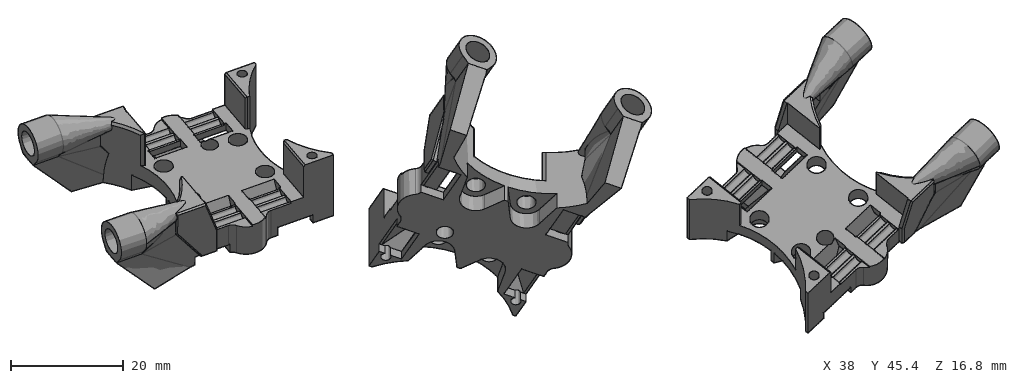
import cadquery as cq
import math

OVERALL_WIDTH = 38.0
OVERALL_LENGTH = 45.35
OVERALL_HEIGHT = 16.82

PLATE_HALF_X = 14.5
PLATE_HALF_Y = 16.1
PLATE_TOP = 6.7
ARC_RADIUS = 18.0
ARC_CENTRE_Y = 27.55

POST_TOP = 14.1
POST_INNER_X = 6.74
BACK_POST_Y = 10.07
FRONT_POST_Y = -10.23
POST_CHAMFER = 0.3
FRONT_POST_CHAMFER = 0.45

SCREW_X = 5.0
SCREW_Y = 7.5
SCREW_DIAMETER = 3.4
EXTRA_HOLE = (-6.2, 2.48)
EXTRA_DIAMETER = 3.05
POST_HOLE = (12.83, 12.68)
POST_HOLE_DIAMETER = 1.8

HEAD_RADIUS = 2.9
HEAD_POCKET_DEPTH = 3.53
FLARE_INNER_X = 0.36
FLARE_OUTER_X = 8.83

BOSS_RADIUS = 3.7
BOSS_REACH = 16.8
BOSS_Y = -0.84
BOSS_BLEND = 1.5

SEAT_INNER_X = 10.03
SEAT_NEAR_Y = 1.5
SEAT_FAR_Y = 7.55
SEAT_DEPTH = 0.35
GROOVE_RADIUS = 0.76
GROOVE_PITCH = 2.08
GROOVE_COUNT = 2
FIRST_GROOVE_X = 11.2
SLOT_INNER_X = 7.58
SLOT_NEAR_Y = 1.34
SLOT_FAR_Y = 7.89
CHANNEL_INNER_X = 10.1
CHANNEL_NEAR_Y = 4.85
CHANNEL_FAR_Y = 11.95
CHANNEL_HEIGHT = 1.85
CHANNEL_CEILING_X = 14.0
SLOT_BEND_Z = 5.0

TUBE_RADIUS = 3.7
TUBE_X = OVERALL_WIDTH / 2 - TUBE_RADIUS
TUBE_Z = OVERALL_HEIGHT - TUBE_RADIUS
TUBE_BORE_RADIUS = 2.33
TUBE_FRONT_Y = PLATE_HALF_Y - OVERALL_LENGTH
TUBE_LENGTH = 5.1
TUBE_BACK_Y = TUBE_FRONT_Y + TUBE_LENGTH
KEEL_HALF_WIDTH = 1.87
KEEL_Z = 9.45
CONE_TIP = (-13.0, -13.0, 13.1)
CONE_TIP_RADIUS = 1.0
LEG_TOE_Y = -21.4
LEG_TOE_OUTER_X = 16.9
LEG_INNER_X = 13.65
LEG_ROOT_LOW_OUTER_X = 14.2
LEG_ROOT_LOW_INNER_X = 13.0
LEG_ROOT_HIGH_INNER_X = 12.2
CREASE_LOW_Y = -13.0
CREASE_LOW_OUTER_X = 14.7
WEB_ROOT_TOP_Z = 12.6

PAD_X = 15.5
PAD_CHAMFER = 0.3
PAD_FRONT = (-16.3, 9.5)
PAD_BOTTOM = (-11.1, 2.1)
PAD_OUTLINE = [
    (-7.8, 2.1),
    (-7.8, 7.2),
    (-10.1, POST_TOP),
    (-16.15, POST_TOP),
    PAD_FRONT,
    PAD_BOTTOM,
]

OVERCUT = 1.0


def box(x0, x1, y0, y1, z0, z1):
    """Axis-aligned box between the given limits."""
    return cq.Workplane("XY").box(x1 - x0, y1 - y0, z1 - z0, centered=False).translate((x0, y0, z0))


def cylinder(x, y, radius, z0, z1):
    """Upright cylinder between two heights."""
    return cq.Workplane("XY").workplane(offset=z0).center(x, y).circle(radius).extrude(z1 - z0)


def both_sides(left):
    """The left-hand solid together with its mirror image at +X."""
    return left.union(left.mirror("YZ"))


def ruled_solid(first, second):
    """Solid between two closed outlines given as wires."""
    return cq.Workplane(obj=cq.Solid.makeLoft([first, second], True))


def closed_wire(points):
    """Closed polygon through points in space."""
    return cq.Wire.makePolygon([cq.Vector(*point) for point in points], close=True)


def level_rectangle(inner_x, outer_x, near_y, far_y, z):
    """Horizontal rectangle on the -X side at one height."""
    return closed_wire(
        [(-inner_x, near_y, z), (-outer_x, near_y, z), (-outer_x, far_y, z), (-inner_x, far_y, z)]
    )


def arc_cutter(side):
    """Tall cylinder that hollows the front (-1) or back (+1) edge."""
    return cylinder(0, side * ARC_CENTRE_Y, ARC_RADIUS, -OVERCUT, POST_TOP + OVERCUT)


def make_plate():
    plate = box(-PLATE_HALF_X, PLATE_HALF_X, -PLATE_HALF_Y, PLATE_HALF_Y, 0, PLATE_TOP)
    boss_x = BOSS_REACH - BOSS_RADIUS
    for side in (-1, 1):
        plate = plate.union(cylinder(side * boss_x, BOSS_Y, BOSS_RADIUS, 0, PLATE_TOP))
    joint_y = math.sqrt(BOSS_RADIUS**2 - (PLATE_HALF_X - boss_x) ** 2)
    joint_zone = cq.selectors.BoxSelector(
        (-BOSS_REACH, BOSS_Y - joint_y - OVERCUT, 0),
        (BOSS_REACH, BOSS_Y + joint_y + OVERCUT, PLATE_TOP),
    )
    plate = plate.edges("|Z").edges(joint_zone).fillet(BOSS_BLEND)
    return plate.cut(arc_cutter(-1)).cut(arc_cutter(1))


def make_back_posts():
    post = box(-PLATE_HALF_X, -POST_INNER_X, BACK_POST_Y, PLATE_HALF_Y, 0, POST_TOP)
    post = post.edges("(>Z and <Y) or (>X and <Y)").chamfer(POST_CHAMFER)
    return both_sides(post.cut(arc_cutter(1)))


def make_front_posts():
    post = box(-PLATE_HALF_X, -POST_INNER_X, -PLATE_HALF_Y, FRONT_POST_Y, 0, POST_TOP)
    post = post.cut(arc_cutter(-1))
    arc_rim = post.faces(">Z").edges("%CIRCLE")
    inner_corner = post.edges("|Z").edges(">X").edges("<Y")
    post = arc_rim.add(inner_corner).chamfer(FRONT_POST_CHAMFER)
    return both_sides(post)


def make_pads():
    thickness = PAD_X - PLATE_HALF_X
    pad = cq.Workplane("YZ").workplane(offset=-PAD_X).polyline(PAD_OUTLINE).close().extrude(thickness)
    return both_sides(pad.faces("<X").edges().chamfer(PAD_CHAMFER))


def make_tubes():
    barrel = (
        cq.Workplane("XZ", origin=(-TUBE_X, TUBE_BACK_Y, TUBE_Z)).circle(TUBE_RADIUS).extrude(TUBE_LENGTH)
    )
    drop = TUBE_Z - KEEL_Z
    reach = math.hypot(KEEL_HALF_WIDTH, drop)
    tangent_angle = math.atan2(-drop, KEEL_HALF_WIDTH) + math.acos(TUBE_RADIUS / reach)
    tangent_x = TUBE_RADIUS * math.cos(tangent_angle)
    tangent_z = TUBE_RADIUS * math.sin(tangent_angle)
    keel = (
        cq.Workplane("XZ", origin=(-TUBE_X, TUBE_BACK_Y, TUBE_Z))
        .polyline(
            [
                (-tangent_x, tangent_z),
                (-KEEL_HALF_WIDTH, -drop),
                (KEEL_HALF_WIDTH, -drop),
                (tangent_x, tangent_z),
            ]
        )
        .close()
        .extrude(TUBE_LENGTH)
    )
    forward = cq.Vector(0, -1, 0)
    tip = cq.Wire.makeCircle(CONE_TIP_RADIUS, cq.Vector(*CONE_TIP), forward)
    base = cq.Wire.makeCircle(TUBE_RADIUS, cq.Vector(-TUBE_X, TUBE_BACK_Y, TUBE_Z), forward)
    return both_sides(barrel.union(keel).union(ruled_solid(tip, base)))


def make_legs():
    """Slanted legs from the lower front edge of the pads to the underside of the tubes."""
    high_y, high_z = PAD_FRONT
    low_y, low_z = PAD_BOTTOM
    foot_y = low_y - low_z * (high_y - low_y) / (high_z - low_z)
    root = closed_wire(
        [
            (-LEG_ROOT_LOW_OUTER_X, foot_y, 0),
            (-LEG_ROOT_LOW_INNER_X, foot_y, 0),
            (-LEG_ROOT_HIGH_INNER_X, high_y, high_z),
            (-PAD_X, high_y, high_z),
        ]
    )
    crease = closed_wire(
        [
            (-CREASE_LOW_OUTER_X, CREASE_LOW_Y, 0),
            (-LEG_ROOT_LOW_INNER_X, CREASE_LOW_Y, 0),
            (-TUBE_X + KEEL_HALF_WIDTH, TUBE_BACK_Y, KEEL_Z),
            (-TUBE_X - KEEL_HALF_WIDTH, TUBE_BACK_Y, KEEL_Z),
        ]
    )
    toe = closed_wire(
        [
            (-LEG_TOE_OUTER_X, LEG_TOE_Y, 0),
            (-LEG_INNER_X, LEG_TOE_Y, 0),
            (-TUBE_X + KEEL_HALF_WIDTH, TUBE_FRONT_Y, KEEL_Z),
            (-TUBE_X - KEEL_HALF_WIDTH, TUBE_FRONT_Y, KEEL_Z),
        ]
    )
    return both_sides(ruled_solid(root, crease).union(ruled_solid(crease, toe)))


def make_webs():
    """Webs that close the gap between each leg and the cone above it."""
    root_y, root_z = PAD_FRONT
    root = closed_wire(
        [
            (-PAD_X, root_y, root_z),
            (-LEG_ROOT_HIGH_INNER_X, root_y, root_z),
            (-LEG_ROOT_HIGH_INNER_X, root_y, WEB_ROOT_TOP_Z),
            (-PAD_X, root_y, WEB_ROOT_TOP_Z),
        ]
    )
    end = closed_wire(
        [
            (-TUBE_X - KEEL_HALF_WIDTH, TUBE_BACK_Y, KEEL_Z),
            (-TUBE_X + KEEL_HALF_WIDTH, TUBE_BACK_Y, KEEL_Z),
            (-TUBE_X + TUBE_RADIUS, TUBE_BACK_Y, TUBE_Z),
            (-TUBE_X - TUBE_RADIUS, TUBE_BACK_Y, TUBE_Z),
        ]
    )
    return both_sides(ruled_solid(root, end))


def belt_cutter():
    """Seat, tooth grooves, slanted slot and side channel at the left of the back half."""
    seat_floor = PLATE_TOP - SEAT_DEPTH
    outside_x = BOSS_REACH + OVERCUT
    cutter = box(-outside_x, -SEAT_INNER_X, SEAT_NEAR_Y, SEAT_FAR_Y, seat_floor, PLATE_TOP + OVERCUT)
    for index in range(GROOVE_COUNT):
        groove_x = -(FIRST_GROOVE_X + index * GROOVE_PITCH)
        groove = (
            cq.Workplane("XZ", origin=(groove_x, SEAT_FAR_Y, seat_floor))
            .circle(GROOVE_RADIUS)
            .extrude(SEAT_FAR_Y - SEAT_NEAR_Y)
        )
        cutter = cutter.union(groove)
    channel = box(-outside_x, -CHANNEL_INNER_X, CHANNEL_NEAR_Y, CHANNEL_FAR_Y, -OVERCUT, CHANNEL_HEIGHT)
    return cutter.union(slot_cutter()).union(channel)


def slot_cutter():
    """Slot that drops beside the seat, then bends outward into the side channel."""
    fall = (PLATE_TOP - SLOT_BEND_Z) / (PLATE_TOP - CHANNEL_HEIGHT)
    bend_inner_x = SLOT_INNER_X + fall * (CHANNEL_INNER_X - SLOT_INNER_X)
    mouth = level_rectangle(SLOT_INNER_X, SEAT_INNER_X, SLOT_NEAR_Y, SLOT_FAR_Y, PLATE_TOP)
    bend = level_rectangle(bend_inner_x, SEAT_INNER_X, SLOT_NEAR_Y, SLOT_FAR_Y, SLOT_BEND_Z)
    foot = level_rectangle(
        CHANNEL_INNER_X, CHANNEL_CEILING_X, CHANNEL_NEAR_Y, CHANNEL_FAR_Y, CHANNEL_HEIGHT
    )
    return ruled_solid(mouth, bend).union(ruled_solid(bend, foot))


def head_pocket_cutter():
    """Round pocket at the left back screw with a mouth flaring to the arc wall."""
    pocket = cylinder(-SCREW_X, SCREW_Y, HEAD_RADIUS, -OVERCUT, HEAD_POCKET_DEPTH)

    def arc_y(x):
        return ARC_CENTRE_Y - math.sqrt(ARC_RADIUS**2 - x**2)

    def tangent_point(x, y, turn):
        """Where a line from (x, y) touches the round pocket."""
        angle = math.atan2(y - SCREW_Y, x + SCREW_X)
        angle += turn * math.acos(HEAD_RADIUS / math.hypot(x + SCREW_X, y - SCREW_Y))
        return (-SCREW_X + HEAD_RADIUS * math.cos(angle), SCREW_Y + HEAD_RADIUS * math.sin(angle))

    inner = (-FLARE_INNER_X, arc_y(FLARE_INNER_X))
    outer = (-FLARE_OUTER_X, arc_y(FLARE_OUTER_X))
    flare = (
        cq.Workplane("XY")
        .workplane(offset=-OVERCUT)
        .polyline(
            [
                tangent_point(*inner, -1),
                inner,
                (-FLARE_INNER_X, outer[1]),
                outer,
                tangent_point(*outer, 1),
            ]
        )
        .close()
        .extrude(HEAD_POCKET_DEPTH + OVERCUT)
    )
    return pocket.union(flare)


def hole_cutter():
    top = POST_TOP + OVERCUT
    holes = cylinder(*EXTRA_HOLE, EXTRA_DIAMETER / 2, -OVERCUT, top)
    for side in (-1, 1):
        post_x = side * POST_HOLE[0]
        holes = holes.union(cylinder(post_x, POST_HOLE[1], POST_HOLE_DIAMETER / 2, -OVERCUT, top))
        for end in (-1, 1):
            screw = cylinder(side * SCREW_X, end * SCREW_Y, SCREW_DIAMETER / 2, -OVERCUT, top)
            holes = holes.union(screw)
    return holes


def tube_bore_cutter():
    bore_end = cq.Workplane("XZ", origin=(-TUBE_X, TUBE_BACK_Y, TUBE_Z))
    bore = bore_end.circle(TUBE_BORE_RADIUS).extrude(TUBE_LENGTH)
    return both_sides(bore)


part = make_plate()
for feature in (make_back_posts(), make_front_posts(), make_pads(), make_legs(), make_webs(), make_tubes()):
    part = part.union(feature)

for quadrant in (belt_cutter(), head_pocket_cutter()):
    back_pair = both_sides(quadrant)
    part = part.cut(back_pair).cut(back_pair.mirror("XZ"))

result = part.cut(hole_cutter()).cut(tube_bore_cutter())